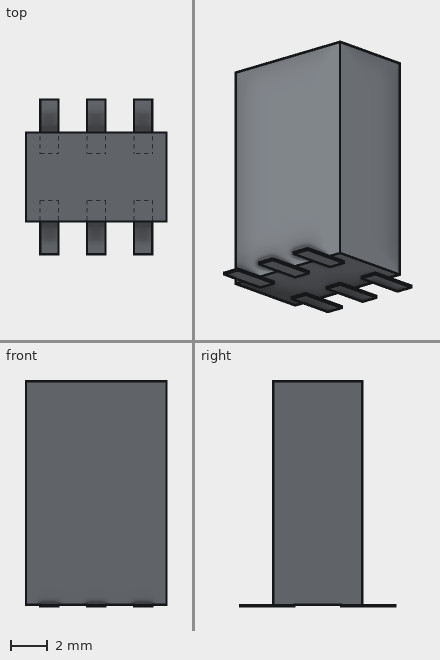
import cadquery as cq

total_height = 12.19
lead_span = 8.39

lead_thickness = 0.1
lead_width = 1.01
lead_length = 2.93
lead_pitch = 2.54
leads_per_row = 3

housing_width = 7.62
housing_depth = 4.83
housing_height = total_height - lead_thickness


def make_housing():
    """Rectangular block whose underside sits on the top of the leads."""
    return (
        cq.Workplane("XY")
        .workplane(offset=lead_thickness)
        .rect(housing_width, housing_depth)
        .extrude(housing_height)
    )


def make_lead(center_x, row_side):
    """Flat lead on the base plane; row_side is -1 or +1 for the -Y or +Y row."""
    center_y = row_side * (lead_span - lead_length) / 2
    return (
        cq.Workplane("XY")
        .center(center_x, center_y)
        .rect(lead_width, lead_length)
        .extrude(lead_thickness)
    )


housing = make_housing()

leads = []
for row_side in (-1, 1):
    for index in range(leads_per_row):
        center_x = (index - (leads_per_row - 1) / 2) * lead_pitch
        leads.append(make_lead(center_x, row_side))

result = cq.Compound.makeCompound([housing.val(), *[lead.val() for lead in leads]])